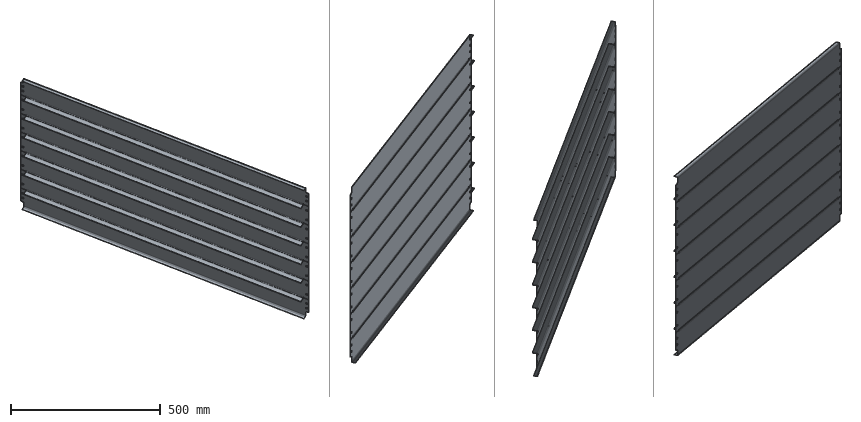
import cadquery as cq
import math

width = 1076.0
depth = 20.0
height = 690.0

middle_count = 5
pitch = 100.0
end_height = (height - middle_count * pitch) / 2

sheet = 1.6
bend_inner = 1.6
bend_outer = bend_inner + sheet
back_y = depth / 2
face_y = back_y - sheet

joint_flange_inset = 20.0
joint_flange_width = width - 2 * joint_flange_inset
outer_flange_depth = 14.0
outer_inset = 12.0
outer_flange_width = width - 2 * outer_inset
notch_height = 26.0

corner_radius = 4.0
notch_radius = 6.0

slot_length = 9.0
slot_height = 6.0
slot_inset = 8.0
slot_offset = 25.0


def bent_edge(flange_width, flange_depth, edge_z):
    """Bend and flange along an upper edge at edge_z, ending where the flat sheet starts."""
    tip_y = back_y - flange_depth
    start_z = edge_z - bend_outer
    bend_y = back_y - bend_outer
    mid = math.sqrt(0.5)
    return (
        cq.Workplane("YZ")
        .moveTo(back_y, start_z)
        .threePointArc((bend_y + mid * bend_outer, start_z + mid * bend_outer), (bend_y, edge_z))
        .lineTo(tip_y, edge_z)
        .lineTo(tip_y, edge_z - sheet)
        .lineTo(bend_y, edge_z - sheet)
        .threePointArc((bend_y + mid * bend_inner, start_z + mid * bend_inner), (face_y, start_z))
        .close()
        .extrude(flange_width / 2, both=True)
    )


def fold_upper_edge(panel, flange_width, flange_depth, edge_z):
    """Replace the flat strip at the upper edge with a bend and flange."""
    strip = cq.Workplane("XY").box(flange_width, depth, bend_outer).translate(
        (0, back_y, edge_z - bend_outer / 2)
    )
    return panel.cut(strip).union(bent_edge(flange_width, flange_depth, edge_z))


def cut_slots(panel, heights):
    slot_x = width / 2 - slot_inset
    centres = [(side * slot_x, z) for side in (-1, 1) for z in heights]
    slots = (
        cq.Workplane("XZ")
        .pushPoints(centres)
        .slot2D(slot_length, slot_height)
        .extrude(depth, both=True)
    )
    return panel.cut(slots)


def flat_sheet(sheet_width, sheet_height):
    """Flat rectangular sheet, centred on the origin in X and Z."""
    return cq.Workplane("XY").box(sheet_width, sheet, sheet_height).translate((0, back_y - sheet / 2, 0))


def rounded_sheet(sheet_height):
    """Full-width sheet with rounded corners."""
    return flat_sheet(width, sheet_height).edges("|Y").fillet(corner_radius)


def end_sheet():
    """Full-width sheet narrowed at the top by a notch on both sides with a rounded inner corner."""
    tabs = rounded_sheet(end_height - notch_height).translate((0, 0, -notch_height / 2))
    blank = tabs.union(flat_sheet(outer_flange_width, end_height))
    notch_z = end_height / 2 - notch_height
    for side in (-1, 1):
        inner_corner = (side * outer_flange_width / 2, back_y - sheet / 2, notch_z)
        blank = blank.edges(cq.NearestToPointSelector(inner_corner)).fillet(notch_radius)
    return blank


def make_middle_panel():
    """Panel with a full-depth flange on its upper and lower edge, centred in Z."""
    panel = rounded_sheet(pitch)
    for _ in range(2):
        panel = fold_upper_edge(panel, joint_flange_width, depth, pitch / 2)
        panel = panel.mirror("XY")
    slot_z = pitch / 2 - slot_offset
    return cut_slots(panel, [-slot_z, slot_z])


def make_end_panel():
    """Top panel, centred in Z: narrow outer flange above, full-depth joint flange below."""
    edge_z = end_height / 2
    panel = end_sheet()
    panel = fold_upper_edge(panel, outer_flange_width, outer_flange_depth, edge_z)
    upside_down = panel.mirror("XY")
    panel = fold_upper_edge(upside_down, joint_flange_width, depth, edge_z).mirror("XY")
    return cut_slots(panel, [slot_offset - edge_z, 2 * slot_offset - edge_z])


middle_panel = make_middle_panel()
middle_panels = []
for index in range(middle_count):
    panel_z = (index - (middle_count - 1) / 2) * pitch
    middle_panels.append(middle_panel.translate((0, 0, panel_z)).val())

top_panel = make_end_panel().translate((0, 0, (height - end_height) / 2))
end_panels = [top_panel.val(), top_panel.mirror("XY").val()]

result = cq.Compound.makeCompound([*middle_panels, *end_panels])